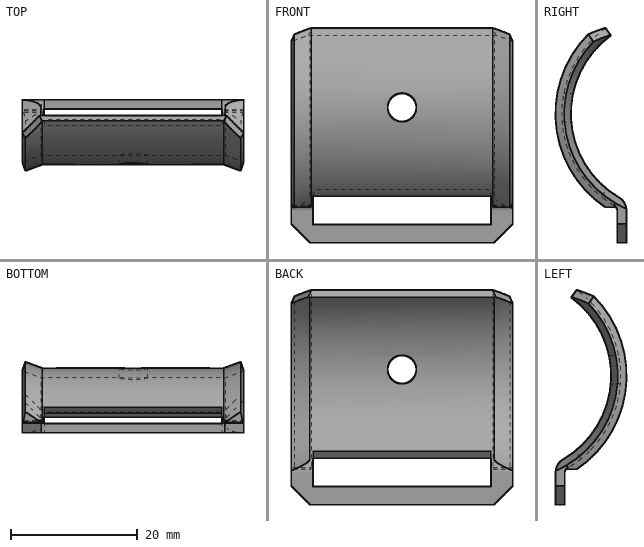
import cadquery as cq
import math

thickness = 1.5
plate_outer_radius = 16.8
plate_inner_radius = plate_outer_radius - thickness
overall_width = 35.05
half_width = overall_width / 2
top_angle = math.radians(54.0)

flare_angle = math.radians(20.0)
flare_slope = math.tan(flare_angle)
outer_crease_x = 14.3
inner_crease_x = outer_crease_x + thickness * math.tan(flare_angle / 2)
rim_outer_x = half_width - thickness * math.sin(flare_angle)
rim_outer_radius = plate_outer_radius + (rim_outer_x - outer_crease_x) * flare_slope
rim_inner_radius = plate_inner_radius + (half_width - inner_crease_x) * flare_slope
flare_bottom_z = -14.8
corner_cut_length = 5.0

overall_depth = 11.27
overall_height = 34.0
tab_back_y = overall_depth - rim_outer_radius
tab_front_y = tab_back_y - thickness
top_z = plate_outer_radius * math.sin(top_angle)
tab_bottom_z = top_z - overall_height
tab_corner_chamfer = 3.0
slot_half_width = 14.05
tab_bar_height = 2.95
slot_bottom_z = tab_bottom_z + tab_bar_height
slot_top_angle = math.radians(-51.0)

bend_inner_radius = 1.0
bend_outer_radius = bend_inner_radius + thickness
bend_y = tab_front_y - bend_inner_radius
bend_distance = plate_outer_radius + bend_inner_radius
bend_z = -math.sqrt(bend_distance**2 - bend_y**2)
bend_angle = math.atan2(bend_z, -bend_y)

hole_diameter = 4.5
hole_angle = math.radians(3.6)

reach = 2 * rim_outer_radius


def radial_point(radius, angle):
    """(y, z) at a radius from the plate axis and an angle measured up from -Y."""
    return -radius * math.cos(angle), radius * math.sin(angle)


def revolve_mirrored(half_outline):
    """Revolve an (x, radius) outline, completed by its mirror image, about the X axis."""
    mirrored_half = [(-x, radius) for x, radius in reversed(half_outline)]
    outline = cq.Workplane("XY").polyline(half_outline + mirrored_half).close()
    return outline.revolve(360, (0, 0, 0), (1, 0, 0))


def flared_plate():
    """Flared tube cut down to the part between the top end and the bend."""
    tube = revolve_mirrored([
        (outer_crease_x, plate_outer_radius),
        (rim_outer_x, rim_outer_radius),
        (half_width, rim_inner_radius),
        (inner_crease_x, plate_inner_radius),
    ])
    sector = (
        cq.Workplane("YZ")
        .polyline([
            (0, 0),
            radial_point(reach, top_angle),
            (-reach, 0),
            (-reach, flare_bottom_z),
            (tab_front_y, flare_bottom_z),
            radial_point(plate_outer_radius, bend_angle),
        ])
        .close()
        .extrude(half_width, both=True)
    )
    return tube.intersect(sector)


def top_corner_cuts():
    """Prisms that cut the upper corners at 45 degrees, square to the flared sheet."""
    radial_y, radial_z = radial_point(1, top_angle)
    crease_y, crease_z = radial_point(plate_outer_radius, top_angle)
    sin_flare = math.sin(flare_angle)
    cos_flare = math.cos(flare_angle)
    flare_face = cq.Plane(
        origin=(outer_crease_x, crease_y, crease_z),
        xDir=(cos_flare, sin_flare * radial_y, sin_flare * radial_z),
        normal=(-sin_flare, cos_flare * radial_y, cos_flare * radial_z),
    )
    right_cut = (
        cq.Workplane(flare_face)
        .polyline([(0, 0), (corner_cut_length, -corner_cut_length), (corner_cut_length, corner_cut_length)])
        .close()
        .extrude(corner_cut_length, both=True)
    )
    return right_cut.union(right_cut.mirror("YZ"))


def bend_middle(radius):
    """Point halfway around the bend at the given bend radius."""
    return (
        bend_y + radius * math.cos(bend_angle / 2),
        bend_z - radius * math.sin(bend_angle / 2),
    )


def tab_with_bend():
    """Tab and bend as one strip, relieved so that the flared inner surface runs through."""
    strip = (
        cq.Workplane("YZ")
        .moveTo(tab_back_y, tab_bottom_z)
        .lineTo(tab_back_y, bend_z)
        .threePointArc(bend_middle(bend_outer_radius), radial_point(plate_inner_radius, bend_angle))
        .lineTo(*radial_point(plate_outer_radius, bend_angle))
        .threePointArc(bend_middle(bend_inner_radius), (tab_front_y, bend_z))
        .lineTo(tab_front_y, tab_bottom_z)
        .close()
        .extrude(half_width, both=True)
        .faces("<Z").edges("|Y").chamfer(tab_corner_chamfer)
    )
    bore = revolve_mirrored([
        (half_width, 0),
        (half_width, rim_inner_radius),
        (inner_crease_x, plate_inner_radius),
    ])
    return strip.cut(bore)


def slot():
    """Strap slot with a radial upper side and a flat lower side."""
    return (
        cq.Workplane("YZ")
        .polyline([
            (0, 0),
            radial_point(reach, slot_top_angle),
            (-reach, slot_bottom_z),
            (0, slot_bottom_z),
        ])
        .close()
        .extrude(slot_half_width, both=True)
    )


def screw_hole():
    """Radial hole through the middle of the plate."""
    normal_y, normal_z = radial_point(1, hole_angle)
    hole_plane = cq.Plane(origin=(0, 0, 0), xDir=(1, 0, 0), normal=(0, normal_y, normal_z))
    return cq.Workplane(hole_plane).circle(hole_diameter / 2).extrude(reach)


plate = flared_plate().cut(top_corner_cuts())
result = plate.union(tab_with_bend()).cut(slot()).cut(screw_hole())